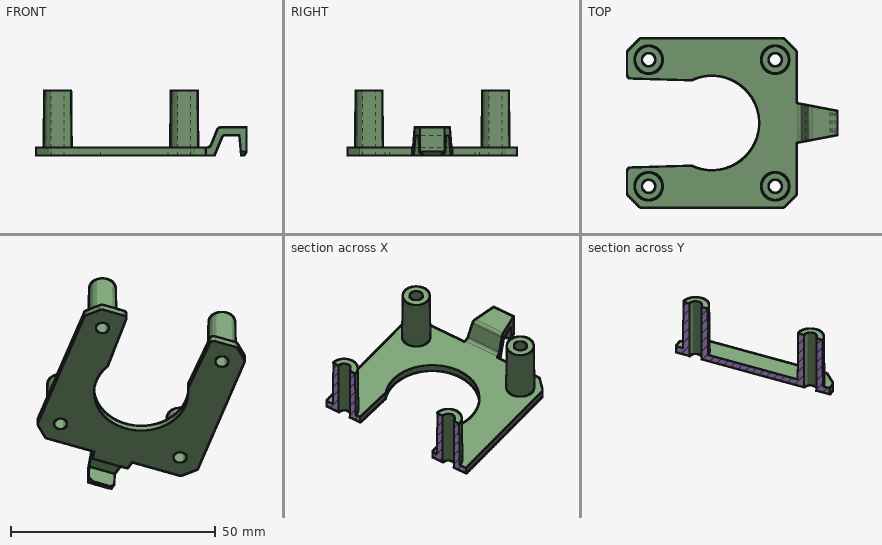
import cadquery as cq
import math

plate_side = 41.6
plate_half = plate_side / 2
thickness = 2.0
corner_chamfer = 3.25
corner_radius = 1.0

opening_radius = 11.55
mouth_half_width = 10.9
throat_half_width = 10.4

total_height = 16.0
post_spacing = 31.0
post_base_diameter = 6.95
post_top_diameter = 6.65
post_bore_diameter = 3.2

total_length = 51.55
hook_reach = total_length - plate_side
hook_height = 6.95
hook_underside = hook_height - thickness
hook_root_half_width = 4.9
hook_end_half_width = 3.0
hook_overlap = 1.05
ramp_top_start = 1.0
ramp_top_end = 3.0
ramp_bottom_start = 2.1
ramp_bottom_end = 4.2
lip_root_offset = 8.15
lip_tip_offset = 8.6
bend_outer_radius = 1.05
bend_inner_radius = 0.6
tip_chamfer_height = 1.0
tip_chamfer_depth = 0.6


def make_plate():
    plate = cq.Workplane("XY").rect(plate_side, plate_side).extrude(thickness)
    plate = plate.edges("|Z").chamfer(corner_chamfer)
    throat_x = -math.sqrt(opening_radius**2 - throat_half_width**2)
    slot = (
        cq.Workplane("XY")
        .moveTo(-plate_half, mouth_half_width)
        .lineTo(throat_x, throat_half_width)
        .threePointArc((opening_radius, 0), (throat_x, -throat_half_width))
        .lineTo(-plate_half, -mouth_half_width)
        .close()
        .extrude(thickness)
    )
    plate = plate.cut(slot)
    outer_radius = plate_half - corner_radius
    outer_edges = [
        edge
        for edge in plate.edges("|Z").vals()
        if max(abs(edge.Center().x), abs(edge.Center().y)) > outer_radius
    ]
    return plate.newObject(outer_edges).fillet(corner_radius)


def make_posts():
    return (
        cq.Workplane("XY")
        .rect(post_spacing, post_spacing, forConstruction=True)
        .vertices()
        .eachpoint(make_post(), combine=False)
    )


def make_post():
    post = (
        cq.Workplane("XY")
        .workplane(offset=thickness)
        .circle(post_base_diameter / 2)
        .workplane(offset=total_height - thickness)
        .circle(post_top_diameter / 2)
        .loft(ruled=True)
    )
    return post.val()


def make_hook():
    profile = [
        (-hook_overlap, 0),
        (-hook_overlap, thickness),
        (ramp_top_start, thickness),
        (ramp_top_end, hook_height),
        (hook_reach, hook_height),
        (hook_reach, tip_chamfer_height),
        (hook_reach - tip_chamfer_depth, 0),
        (lip_tip_offset, 0),
        (lip_root_offset, hook_underside),
        (ramp_bottom_end, hook_underside),
        (ramp_bottom_start, 0),
    ]
    hook = (
        cq.Workplane("XZ", origin=(plate_half, 0, 0))
        .polyline(profile)
        .close()
        .extrude(hook_root_half_width * 2, both=True)
    )
    hook = round_bend(hook, ramp_top_start, thickness, bend_outer_radius)
    hook = round_bend(hook, ramp_top_end, hook_height, bend_outer_radius)
    hook = round_bend(hook, ramp_bottom_end, hook_underside, bend_inner_radius)

    plan = (
        cq.Workplane("XY", origin=(plate_half, 0, 0))
        .polyline([
            (-hook_overlap, -hook_root_half_width),
            (0, -hook_root_half_width),
            (hook_reach, -hook_end_half_width),
            (hook_reach, hook_end_half_width),
            (0, hook_root_half_width),
            (-hook_overlap, hook_root_half_width),
        ])
        .close()
        .extrude(hook_height)
    )
    hook = hook.intersect(plan)

    tip_x = plate_half + (lip_tip_offset + hook_reach - tip_chamfer_depth) / 2
    for side in (-1, 1):
        tip_edge = cq.NearestToPointSelector((tip_x, side * hook_end_half_width, 0))
        hook = hook.edges(tip_edge).chamfer(tip_chamfer_height)
    return hook


def round_bend(hook, offset, height, radius):
    bend = cq.NearestToPointSelector((plate_half + offset, 0, height))
    return hook.edges("|Y").edges(bend).fillet(radius)


def make_bores():
    return (
        cq.Workplane("XY")
        .rect(post_spacing, post_spacing, forConstruction=True)
        .vertices()
        .circle(post_bore_diameter / 2)
        .extrude(total_height)
    )


result = make_plate().union(make_hook()).union(make_posts()).cut(make_bores())